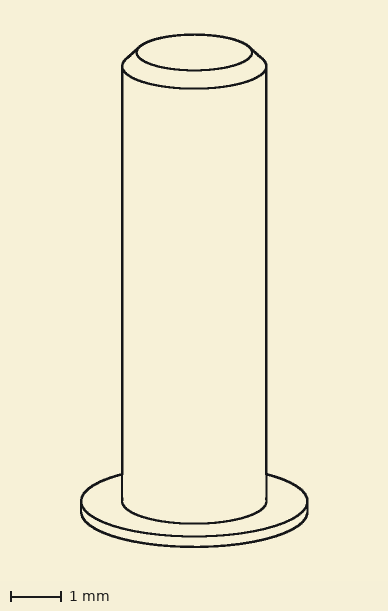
import cadquery as cq

total_height = 9.53
head_diameter = 4.47
head_thickness = 0.22
shank_diameter = 2.85
tip_chamfer = 0.29

head = cq.Workplane("XY").circle(head_diameter / 2).extrude(head_thickness)

shank = (
    cq.Workplane("XY")
    .circle(shank_diameter / 2)
    .extrude(total_height)
    .faces(">Z")
    .chamfer(tip_chamfer)
)

result = head.union(shank)